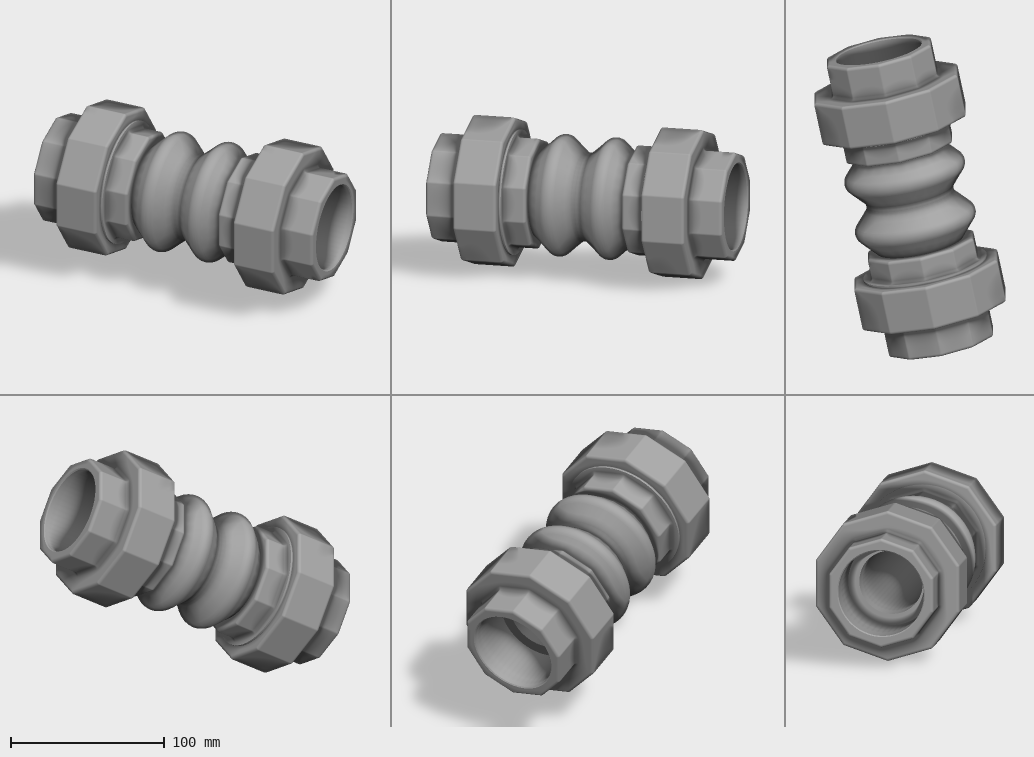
import cadquery as cq
import math

SIDES = 10
UNION_FLATS = 95.0
END_FLATS = 69.0
INNER_FLATS = 70.0
EDGE_RADIUS = 2.0

END_X = 100.0
UNION_OUTER_X = 78.0
UNION_INNER_X = 49.0
COLLAR_X = 47.5
BELLOWS_X = 32.5
COLLAR_DIAMETER = 82.0

SOCKET_DIAMETER = 56.66
SOCKET_MOUTH_DIAMETER = 58.0
SOCKET_DEPTH = 35.0
MOUTH_CHAMFER = (SOCKET_MOUTH_DIAMETER - SOCKET_DIAMETER) / 2
BORE_DIAMETER = 42.0

NECK_RADIUS = 29.0
NECK_HALF_LENGTH = 0.9
NECK_FILLET = 3.0
CREST_RADIUS = 40.0
CREST_X = 17.0
CREST_ROUND = 6.7

BELLOWS_OVERLAP = 2.0

PICK_TOLERANCE = 0.01
ROOT_WINDOW = 40.0


def decagon_prism(across_flats, x_start, x_end):
    """Decagonal prism along X with rounded corner edges."""
    corner = across_flats / 2 / math.cos(math.pi / SIDES)
    angles = [math.pi / 2 + 2 * math.pi * i / SIDES for i in range(SIDES)]
    points = [(corner * math.cos(a), corner * math.sin(a)) for a in angles]
    prism = cq.Workplane("YZ", origin=(x_start, 0, 0)).polyline(points).close().extrude(x_end - x_start)
    return prism.edges("|X").fillet(EDGE_RADIUS)


def root_edges(body, x):
    """Edges in the plane at x where a smaller nut meets the larger face behind it."""
    low = (x - PICK_TOLERANCE, -ROOT_WINDOW, -ROOT_WINDOW)
    high = (x + PICK_TOLERANCE, ROOT_WINDOW, ROOT_WINDOW)
    return body.edges(cq.selectors.BoxSelector(low, high, boundingbox=True))


def end_fitting():
    """Union nut with its end nut, collar and inner nut, on the +X side, without the bore."""
    union_nut = decagon_prism(UNION_FLATS, UNION_INNER_X, UNION_OUTER_X)
    union_nut = union_nut.faces("<X or >X").edges().fillet(EDGE_RADIUS)
    end_nut = decagon_prism(END_FLATS, UNION_OUTER_X, END_X)
    end_nut = end_nut.faces(">X").edges().fillet(EDGE_RADIUS)
    inner_nut = decagon_prism(INNER_FLATS, BELLOWS_X, COLLAR_X)
    inner_nut = inner_nut.faces("<X").edges().fillet(EDGE_RADIUS)
    collar = (
        cq.Workplane("YZ", origin=(COLLAR_X, 0, 0))
        .circle(COLLAR_DIAMETER / 2)
        .extrude(UNION_INNER_X - COLLAR_X)
    )
    fitting = union_nut.union(collar).union(end_nut).union(inner_nut)
    fitting = root_edges(fitting, UNION_OUTER_X).fillet(EDGE_RADIUS)
    return root_edges(fitting, COLLAR_X).fillet(EDGE_RADIUS)


def flank_angle():
    """Angle from the axis of the line tangent to both the neck fillet and the crest round."""
    run = CREST_X - NECK_HALF_LENGTH
    rise = (CREST_RADIUS - CREST_ROUND) - (NECK_RADIUS + NECK_FILLET)
    return math.asin((NECK_FILLET + CREST_ROUND) / math.hypot(run, rise)) + math.atan2(rise, run)


def arc_point(center_x, center_r, radius, angle):
    """Point on an arc, at an angle from the radial direction; a negative radius starts at its bottom."""
    return (center_x + radius * math.sin(angle), center_r + radius * math.cos(angle))


def bellows_half():
    """Solid half of the bellows on the +X side, revolved around X."""
    flank = flank_angle()
    neck_center = (NECK_HALF_LENGTH, NECK_RADIUS + NECK_FILLET, -NECK_FILLET)
    crest_center = (CREST_X, CREST_RADIUS - CREST_ROUND, CREST_ROUND)
    crest_end = arc_point(*crest_center, flank)
    foot_x = BELLOWS_X + BELLOWS_OVERLAP
    foot_radius = crest_end[1] - (foot_x - crest_end[0]) * math.tan(flank)
    return (
        cq.Workplane("XY")
        .moveTo(0, 0)
        .lineTo(0, NECK_RADIUS)
        .lineTo(NECK_HALF_LENGTH, NECK_RADIUS)
        .threePointArc(arc_point(*neck_center, -flank / 2), arc_point(*neck_center, -flank))
        .lineTo(*arc_point(*crest_center, -flank))
        .threePointArc((CREST_X, CREST_RADIUS), crest_end)
        .lineTo(foot_x, foot_radius)
        .lineTo(foot_x, 0)
        .close()
        .revolve(360, (0, 0, 0), (1, 0, 0))
    )


def socket():
    """Pipe socket cut from the +X end, widening through a 45 degree chamfer at its mouth."""
    cutter = (
        cq.Workplane("YZ", origin=(END_X, 0, 0))
        .circle(SOCKET_MOUTH_DIAMETER / 2)
        .extrude(-MOUTH_CHAMFER, taper=45)
    )
    pocket = cq.Workplane("YZ", origin=(END_X, 0, 0)).circle(SOCKET_DIAMETER / 2).extrude(-SOCKET_DEPTH)
    return pocket.union(cutter)


half = end_fitting().union(bellows_half()).cut(socket())
whole = half.union(half.mirror("YZ"), clean=True)
bore = cq.Workplane("YZ", origin=(-END_X, 0, 0)).circle(BORE_DIAMETER / 2).extrude(2 * END_X)
result = whole.cut(bore)